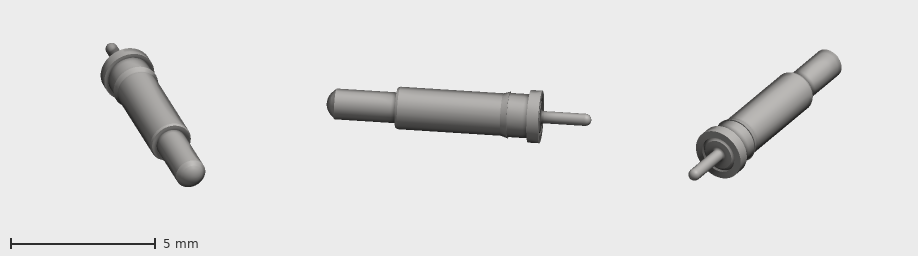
import cadquery as cq
import math

total_length = 9.22
flange_start = 1.75
flange_length = 0.41
neck_length = 0.71
barb_length = 0.23
barrel_end = 6.78

flange_radius = 0.91
neck_radius = 0.765
barb_radius = 0.81
barrel_radius = 0.74
barrel_chamfer_length = 0.08
barrel_chamfer_depth = 0.04

plug_radius = 0.655
plug_chamfer = 0.12
plug_length = flange_length
tail_radius = 0.21
tail_fillet = 0.08

plunger_radius = 0.535
plunger_shoulder_end = 8.91
tip_blend_length = 0.14
tip_blend_radius = 0.41

origin_x = -total_length / 2
flange_x = origin_x + flange_start
neck_x = flange_x + flange_length
barb_x = neck_x + neck_length
body_x = barb_x + barb_length
barrel_end_x = origin_x + barrel_end
plug_back_x = flange_x + plug_length
tip_base_x = origin_x + plunger_shoulder_end
tip_blend_x = tip_base_x + tip_blend_length
tip_x = origin_x + total_length


def revolve_about_x(profile):
    """Turn a closed half profile, drawn as (x, radius), about the X axis."""
    return profile.close().revolve(360, (0, 0, 0), (1, 0, 0))


def make_barrel():
    """Flanged sleeve with a press-fit barb, a plug seat and a plunger bore."""
    profile = (
        cq.Workplane("XY")
        .moveTo(flange_x, plug_radius)
        .lineTo(flange_x, flange_radius)
        .lineTo(neck_x, flange_radius)
        .lineTo(neck_x, neck_radius)
        .lineTo(barb_x, neck_radius)
        .lineTo(barb_x, barb_radius)
        .lineTo(body_x, barrel_radius)
        .lineTo(barrel_end_x - barrel_chamfer_length, barrel_radius)
        .lineTo(barrel_end_x, barrel_radius - barrel_chamfer_depth)
        .lineTo(barrel_end_x, plunger_radius)
        .lineTo(plug_back_x, plunger_radius)
        .lineTo(plug_back_x, plug_radius)
    )
    return revolve_about_x(profile)


def make_tail_plug():
    """Chamfered plug with a round-ended tail wire, filleted at its root."""
    quarter = math.sqrt(0.5)
    wire_start_x = origin_x + tail_radius
    fillet_mid = (
        flange_x - tail_fillet * (1 - quarter),
        tail_radius + tail_fillet * (1 - quarter),
    )
    profile = (
        cq.Workplane("XY")
        .moveTo(origin_x, 0)
        .threePointArc(
            (wire_start_x - tail_radius * quarter, tail_radius * quarter),
            (wire_start_x, tail_radius),
        )
        .lineTo(flange_x - tail_fillet, tail_radius)
        .threePointArc(fillet_mid, (flange_x, tail_radius + tail_fillet))
        .lineTo(flange_x, plug_radius - plug_chamfer)
        .lineTo(flange_x + plug_chamfer, plug_radius)
        .lineTo(plug_back_x, plug_radius)
        .lineTo(plug_back_x, 0)
    )
    return revolve_about_x(profile)


def make_plunger():
    """Round rod filling the bore, with a bevel and a spherical cap at its tip."""
    cap_height = tip_x - tip_blend_x
    cap_radius = (tip_blend_radius**2 + cap_height**2) / (2 * cap_height)
    cap_center_x = tip_x - cap_radius
    half_angle = math.asin(tip_blend_radius / cap_radius) / 2
    cap_mid = (
        cap_center_x + cap_radius * math.cos(half_angle),
        cap_radius * math.sin(half_angle),
    )
    profile = (
        cq.Workplane("XY")
        .moveTo(plug_back_x, 0)
        .lineTo(plug_back_x, plunger_radius)
        .lineTo(tip_base_x, plunger_radius)
        .lineTo(tip_blend_x, tip_blend_radius)
        .threePointArc(cap_mid, (tip_x, 0))
    )
    return revolve_about_x(profile)


barrel = make_barrel()
tail_plug = make_tail_plug()
plunger = make_plunger()

result = cq.Compound.makeCompound([barrel.val(), tail_plug.val(), plunger.val()])